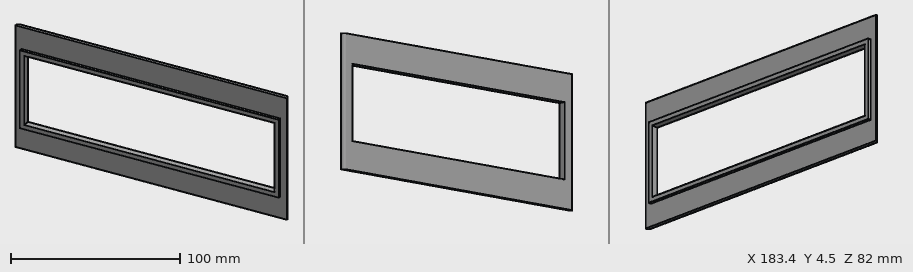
import cadquery as cq

plate_length = 183.4
plate_height = 82.0
total_depth = 4.5
lip_depth = 2.0
plate_depth = total_depth - lip_depth
end_radius = 2.0

lip_length = 175.0
lip_height = 52.5
lip_wall = 3.0
window_length = lip_length - 2 * lip_wall
window_height = lip_height - 2 * lip_wall


def block(length, depth, height, y_start):
    """Box centred in X and Z, growing toward +Y from y_start."""
    return cq.Workplane("XY").box(length, depth, height).translate((0, y_start + depth / 2, 0))


plate = block(plate_length, plate_depth, plate_height, 0)
plate = plate.faces(">Y").edges("|Z").fillet(end_radius)

lip = block(lip_length, lip_depth, lip_height, -lip_depth)

window = block(window_length, total_depth, window_height, -lip_depth)

result = plate.union(lip).cut(window)